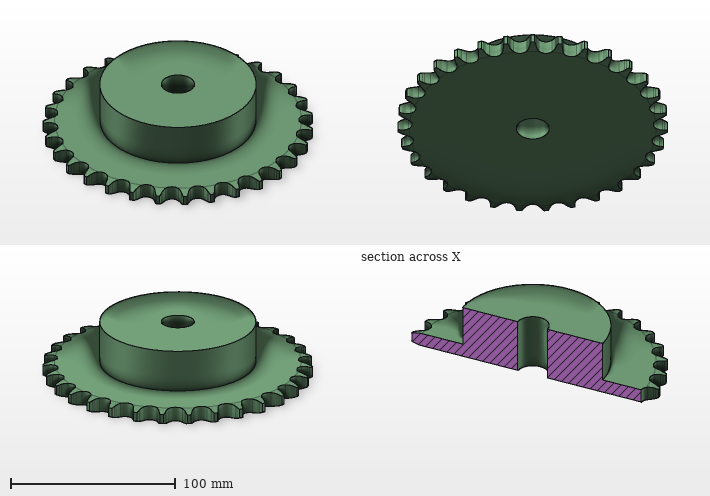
import math
import cadquery as cq

TOOTH_COUNT = 31
OVERALL_WIDTH = 163.8
TIP_HALF_ANGLE = 0.8
ROLLER_DIAMETER = 10.2
CHAIN_PITCH = 15.9
SEATING_ANGLE = 106.0
WORKING_RADIUS = 1.3 * ROLLER_DIAMETER
WORKING_ANGLE = 16.2
STRAIGHT_LENGTH = 1.3
TOPPING_RADIUS = 8.4
PLATE_THICKNESS = 9.0
RELIEF_DIAMETER = 149.9
RELIEF_RADIUS = 16.0
HUB_DIAMETER = 95.0
BORE_DIAMETER = 20.0
TOTAL_HEIGHT = 35.0

TOOTH_ANGLE = 360.0 / TOOTH_COUNT
PITCH_RADIUS = CHAIN_PITCH / (2 * math.sin(math.pi / TOOTH_COUNT))
TIP_RADIUS = OVERALL_WIDTH / 2 / math.cos(math.radians(TOOTH_ANGLE / 4 - TIP_HALF_ANGLE))
ROLLER_RADIUS = ROLLER_DIAMETER / 2
CUT_MARGIN = 0.8
CUT_RADIUS = TIP_RADIUS + CUT_MARGIN


def make_plate():
    """Disc whose two faces curve towards each other at the rim."""
    relief_start = RELIEF_DIAMETER / 2

    def relief_depth(radius):
        return RELIEF_RADIUS - math.sqrt(RELIEF_RADIUS**2 - (radius - relief_start) ** 2)

    middle = (relief_start + TIP_RADIUS) / 2
    tip_drop = relief_depth(TIP_RADIUS)
    middle_drop = relief_depth(middle)
    return (
        cq.Workplane("XZ")
        .lineTo(relief_start, 0)
        .threePointArc((middle, middle_drop), (TIP_RADIUS, tip_drop))
        .lineTo(TIP_RADIUS, PLATE_THICKNESS - tip_drop)
        .threePointArc((middle, PLATE_THICKNESS - middle_drop), (relief_start, PLATE_THICKNESS))
        .lineTo(0, PLATE_THICKNESS)
        .close()
        .revolve(360, (0, 0, 0), (0, 1, 0))
    )


def make_gap_cutter():
    """Space between two teeth, centred on the +Y direction.

    From the bottom outwards, each side is a seating arc, a wider working arc,
    a straight stretch and a convex topping arc, all joined smoothly.
    Angles are the slope of the side measured from the X direction.
    """
    half_seat = math.radians(SEATING_ANGLE / 2)
    side_angle = half_seat + math.radians(WORKING_ANGLE)

    def along_arc(start, radius, from_angle, to_angle):
        return (
            start[0] + radius * (math.sin(to_angle) - math.sin(from_angle)),
            start[1] + radius * (math.cos(from_angle) - math.cos(to_angle)),
        )

    bottom = (0, PITCH_RADIUS - ROLLER_RADIUS)
    seat_end = along_arc(bottom, ROLLER_RADIUS, 0, half_seat)
    work_middle = along_arc(seat_end, WORKING_RADIUS, half_seat, (half_seat + side_angle) / 2)
    work_end = along_arc(seat_end, WORKING_RADIUS, half_seat, side_angle)
    line_end = (
        work_end[0] + STRAIGHT_LENGTH * math.cos(side_angle),
        work_end[1] + STRAIGHT_LENGTH * math.sin(side_angle),
    )

    centre_x = line_end[0] + TOPPING_RADIUS * math.sin(side_angle)
    centre_y = line_end[1] - TOPPING_RADIUS * math.cos(side_angle)

    def topping_point(y):
        return centre_x - math.sqrt(TOPPING_RADIUS**2 - (y - centre_y) ** 2), y

    top_middle = topping_point((line_end[1] + CUT_RADIUS) / 2)
    top_end = topping_point(CUT_RADIUS)

    def mirrored(point):
        return -point[0], point[1]

    return (
        cq.Workplane("XY")
        .workplane(offset=-CUT_MARGIN)
        .moveTo(*mirrored(seat_end))
        .threePointArc(bottom, seat_end)
        .threePointArc(work_middle, work_end)
        .lineTo(*line_end)
        .threePointArc(top_middle, top_end)
        .lineTo(*mirrored(top_end))
        .threePointArc(mirrored(top_middle), mirrored(line_end))
        .lineTo(*mirrored(work_end))
        .threePointArc(mirrored(work_middle), mirrored(seat_end))
        .close()
        .extrude(PLATE_THICKNESS + 2 * CUT_MARGIN)
    )


result = make_plate()
gap_cutter = make_gap_cutter()
for index in range(TOOTH_COUNT):
    result = result.cut(gap_cutter.rotate((0, 0, 0), (0, 0, 1), index * TOOTH_ANGLE))

hub = cq.Workplane("XY").circle(HUB_DIAMETER / 2).extrude(TOTAL_HEIGHT)
bore = cq.Workplane("XY").circle(BORE_DIAMETER / 2).extrude(TOTAL_HEIGHT)
result = result.union(hub).cut(bore)